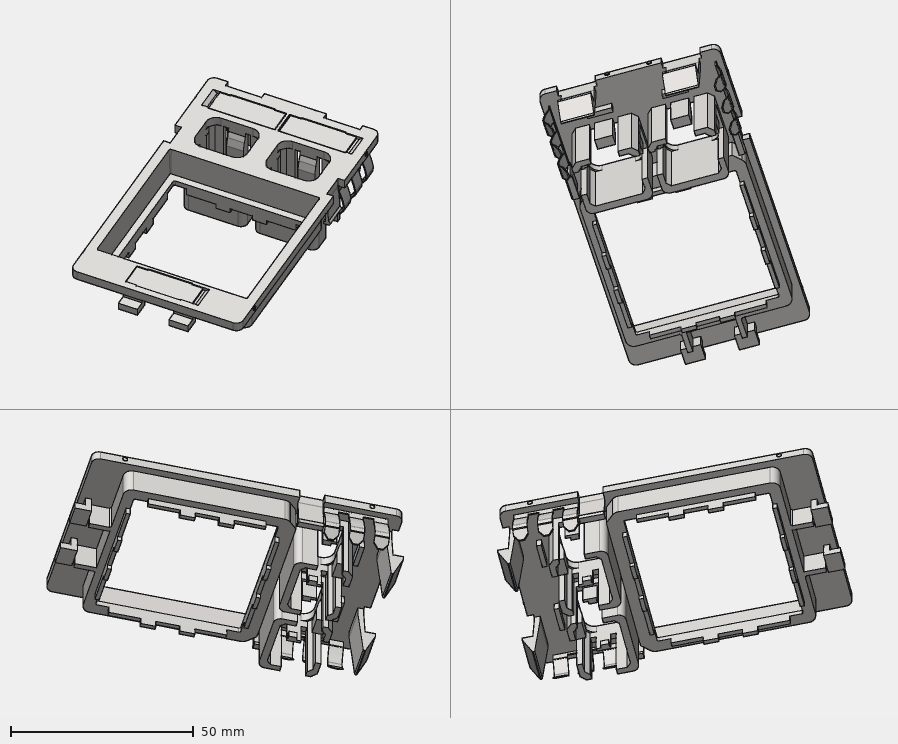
import math

import cadquery as cq

plate_width, plate_length, plate_thickness = 51.6, 87.7, 2.8
plate_corner_radius = 2.1
plate_half_width = plate_width / 2

window_center_y = 33.3
pocket_side, pocket_depth, pocket_taper, pocket_corner_radius = 45.6, 8.8, 1.7, 0.45
opening_side, opening_corner_radius = 40.9, 0.45
box_side, box_bottom, box_corner_radius = 47.4, -10.4, 2.35

skirt_length, skirt_thickness, skirt_bottom = 33.3, 1.2, -12.5
skirt_tab_width, skirt_tab_spacing = 4.25, 11.0
side_tab_bottom, end_tab_bottom = -14.5, -13.9

socket_center_x, socket_hole_y = 10.9, (60.6, 73.5)
socket_hole_width, socket_hole_radius = 15.75, 3.1
socket_wall, socket_front_y, socket_bottom = 1.6, 58.55, -22.8
socket_front_radius, socket_rear_chamfer, socket_inner_chamfer = 2.0, 1.5, 1.2
socket_gap_y = (64.9, 72.1)
socket_collar_bottom = -5.25
socket_rear_gap_width = 8.1
latch_width, latch_reach, latch_bevel = 5.2, 1.4, 0.7
latch_top, latch_step, latch_knee, latch_bottom = -4.0, -5.6, -8.1, -12.7
bridge_chamfer = 2.2
guide_wall_y, guide_pad_y = (66.5, 70.5), (66.8, 69.1)
guide_wall_thickness, guide_pad_height, guide_pad_top, guide_bottom = 0.8, 0.9, -9.05, -11.0

label_length, label_width = 20.1, 7.1
label_recess, label_gap, label_gap_depth = 0.4, 0.3, 0.45
ramp_depth, ramp_flat, ramp_run = 0.9, 0.7, 1.3
grip_length, grip_depth = 13.4, 0.3
rear_label_x, rear_label_y, front_label_y = 10.8, 79.55, 5.8
lug_length, lug_y, lug_bottom = 7.2, (78.3, 79.6), -5.4

clip_x, clip_width = 14.9, 9.4
clip_notch_width, clip_notch_depth = 11.0, 1.7
clip_arm_thickness, clip_arm_lean, clip_overhang = 1.7, 0.4, 1.6
clip_root_bottom, clip_barb_top, clip_barb_side, clip_tip_z = -4.9, -11.8, -12.7, -19.5
clip_tip_offset, clip_tip_half_width = 1.9, 0.4

side_notch_y, side_notch_depth = (58.4, 65.4), 2.0
notch_wall_x = plate_half_width - side_notch_depth
notch_wall_thickness, notch_wall_lean, notch_wall_lean_bottom = 0.45, 0.5, -9.9
notch_foot_flare, notch_foot_flare_z, notch_foot_bevel = 1.2, -10.5, 0.45
notch_foot_inset, notch_foot_bottom = 1.0, -11.3

spring_base_x, spring_thickness, spring_root, spring_strip_bottom = 24.0, 0.4, -4.9, -3.7
spring_y, finger_count, finger_width, finger_chamfer = (65.7, 83.8), 3, 4.1, 1.3
finger_pitch = (spring_y[1] - spring_y[0] - finger_width) / (finger_count - 1)
spring_tip_z = -14.5
bow_reach, bow_z = 1.1, -7.6
knee_reach, knee_top, knee_bottom, knee_setback = 1.6, -10.1, -11.6, 0.2
tip_inset = 0.6

hook_x, hook_width, hook_stem_width = 7.7, 5.8, 1.7
hook_reach, hook_root_y, hook_top, hook_bottom = 1.2, 3.5, -5.4, -7.6
rib_x, rib_thickness, rib_foot = 7.8, 1.45, 0.45

bump_radius, bump_z, side_bump_height, rear_bump_height = 0.68, -1.1, 0.14, 0.3
side_bump_y, rear_bump_x = (9.0, 78.8), 6.0


def box(x_range, y_range, z_range):
    """Axis-aligned block between the given limits."""
    size = [high - low for low, high in (x_range, y_range, z_range)]
    block = cq.Workplane("XY").box(*size, centered=False)
    return block.translate((x_range[0], y_range[0], z_range[0]))


def centered_box(center_x, width, y_range, z_range):
    """Block centred on center_x in the X direction."""
    return box((center_x - width / 2, center_x + width / 2), y_range, z_range)


def block_at_window(width, length, z_range, corner_radius):
    """Block with rounded upright edges, centred on the window."""
    y_range = (window_center_y - length / 2, window_center_y + length / 2)
    return centered_box(0, width, y_range, z_range).edges("|Z").fillet(corner_radius)


def mirrored(solid):
    """The solid together with its mirror image about the YZ plane."""
    return solid.union(solid.mirror("YZ"))


def side_profile(points, center_x, width):
    """(Y, Z) outline extruded along X, centred on center_x."""
    return cq.Workplane("YZ", origin=(center_x - width / 2, 0, 0)).polyline(points).close().extrude(width)


def make_plate():
    plate = centered_box(0, plate_width, (0, plate_length), (-plate_thickness, 0))
    plate = plate.edges("|Z").fillet(plate_corner_radius)
    clip_notch = centered_box(
        clip_x, clip_notch_width, (plate_length - clip_notch_depth, plate_length), (-plate_thickness, 0)
    )
    side_notch = box((notch_wall_x, plate_half_width), side_notch_y, (-plate_thickness, 0))
    return plate.cut(mirrored(clip_notch)).cut(mirrored(side_notch))


def make_bumps():
    """Round rods buried in the plate, their ends standing proud of its edges."""
    rod_length = plate_width + 2 * side_bump_height
    bumps = cq.Workplane("XY")
    for y in side_bump_y:
        rod = cq.Workplane("YZ", origin=(-rod_length / 2, y, bump_z)).circle(bump_radius).extrude(rod_length)
        bumps = bumps.union(rod)
    rear_pin = (
        cq.Workplane("XZ", origin=(rear_bump_x, plate_length + rear_bump_height, bump_z))
        .circle(bump_radius)
        .extrude(2 * rear_bump_height)
    )
    return bumps.union(mirrored(rear_pin))


def make_window_body():
    return block_at_window(box_side, box_side, (box_bottom, -plate_thickness), box_corner_radius)


def make_window_cut():
    pocket = (
        cq.Workplane("XY", origin=(0, window_center_y, 0))
        .sketch()
        .rect(pocket_side, pocket_side)
        .vertices()
        .fillet(pocket_corner_radius)
        .finalize()
        .extrude(-pocket_depth, taper=pocket_taper)
    )
    opening = block_at_window(opening_side, opening_side, (box_bottom, 0), opening_corner_radius)
    return pocket.union(opening)


def make_skirt(angle, tab_bottom):
    """Straight skirt with two tabs, turned about the window centre."""
    inner_y = window_center_y + opening_side / 2
    y_range = (inner_y, inner_y + skirt_thickness)
    skirt = centered_box(0, skirt_length, y_range, (skirt_bottom, box_bottom))
    tab = centered_box(skirt_tab_spacing / 2, skirt_tab_width, y_range, (tab_bottom, box_bottom))
    return skirt.union(mirrored(tab)).rotate((0, window_center_y, 0), (0, window_center_y, 1), angle)


def make_socket_hole():
    """Rounded hole through the plate, continuing below it with chamfered corners."""
    hole = centered_box(socket_center_x, socket_hole_width, socket_hole_y, (-plate_thickness, 0))
    shaft = centered_box(socket_center_x, socket_hole_width, socket_hole_y, (socket_bottom, -plate_thickness))
    return (
        hole.edges("|Z")
        .fillet(socket_hole_radius)
        .union(shaft.edges("|Z").chamfer(socket_inner_chamfer))
    )


def make_socket():
    """Solid tube split by a gap across its sides and a gap in its rear wall."""
    outer_width = socket_hole_width + 2 * socket_wall
    rear_y = socket_hole_y[1] + socket_wall
    tube_z = (socket_bottom, -plate_thickness)
    tube = centered_box(socket_center_x, outer_width, (socket_front_y, rear_y), tube_z)
    tube = tube.edges("|Z and <Y").fillet(socket_front_radius).edges("|Z and >Y").chamfer(socket_rear_chamfer)
    side_gap = centered_box(socket_center_x, outer_width, socket_gap_y, (socket_bottom, socket_collar_bottom))
    rear_gap = centered_box(socket_center_x, socket_rear_gap_width, (socket_gap_y[1], rear_y), tube_z)
    return tube.cut(side_gap).cut(rear_gap)


def make_latch():
    """Rear spring latch leaning forward into the socket."""
    tip_y = socket_hole_y[1] - latch_reach
    outer_y = socket_hole_y[1] + socket_wall
    outline = [
        (socket_hole_y[1], -plate_thickness),
        (socket_hole_y[1], latch_top),
        (socket_hole_y[1] - latch_bevel, latch_step),
        (tip_y, latch_knee),
        (tip_y, latch_bottom),
        (outer_y, latch_bottom),
        (outer_y, -plate_thickness),
    ]
    return side_profile(outline, socket_center_x, latch_width)


def make_guides():
    """Thin side walls with a pad that reaches into each side of the socket."""
    guides = cq.Workplane("XY")
    for side in (-1, 1):
        hole_x = socket_center_x + side * socket_hole_width / 2
        wall_x = hole_x + side * guide_wall_thickness / 2
        pad_x = hole_x - side * guide_pad_height / 2
        wall_z = (guide_bottom, -plate_thickness)
        pad_z = (guide_bottom, guide_pad_top)
        guides = guides.union(centered_box(wall_x, guide_wall_thickness, guide_wall_y, wall_z))
        guides = guides.union(centered_box(pad_x, guide_pad_height, guide_pad_y, pad_z))
    return guides


def make_bridge():
    """Web between the window box and the sockets, its ends slanting off the round box corners."""
    corner_inset = box_corner_radius * (1 - math.sqrt(0.5))
    start_y = window_center_y + box_side / 2 - corner_inset
    width = box_side - 2 * corner_inset
    bridge = centered_box(0, width, (start_y, socket_front_y), (box_bottom, -plate_thickness))
    return bridge.edges("|Z and >Y").chamfer(bridge_chamfer)


def make_label_cut(center_x, center_y, edge_gap):
    """Label recess with its ramp at the +X end; a nonzero edge_gap adds a groove along two edges."""
    y_range = (center_y - label_width / 2, center_y + label_width / 2)
    half = label_length / 2
    panel = box((-half, half), y_range, (-label_recess, 0))
    grip_y = (y_range[0] - grip_depth, y_range[1] + grip_depth)
    grip = centered_box(0, grip_length, grip_y, (-label_recess, 0))
    ramp_outline = [
        (half, 0),
        (half, -ramp_depth),
        (half + ramp_flat, -ramp_depth),
        (half + ramp_flat + ramp_run, 0),
    ]
    ramp = cq.Workplane("XZ", origin=(0, y_range[1], 0)).polyline(ramp_outline).close().extrude(label_width)
    cut = panel.union(grip).union(ramp)
    if edge_gap:
        groove = box((-half - edge_gap, half), (y_range[0] - edge_gap, y_range[1]), (-label_gap_depth, 0))
        cut = cut.union(groove.cut(box((-half, half), y_range, (-label_gap_depth, 0))))
    return cut.translate((center_x, 0, 0))


def make_clip():
    """Leaning arm with a rearward barb."""
    rear_y = plate_length + clip_overhang
    arm_rear_y = plate_length - clip_notch_depth
    arm_front_y = arm_rear_y - clip_arm_thickness
    tip_y = arm_front_y + clip_tip_offset
    outline = [
        (arm_front_y, -plate_thickness),
        (arm_front_y, clip_root_bottom),
        (tip_y - clip_tip_half_width, clip_tip_z + clip_tip_half_width),
        (tip_y, clip_tip_z),
        (tip_y + clip_tip_half_width, clip_tip_z + clip_tip_half_width),
        (rear_y, clip_barb_side),
        (rear_y, clip_barb_top),
        (arm_rear_y + clip_arm_lean, clip_barb_top),
        (arm_rear_y, clip_root_bottom),
        (arm_rear_y, -plate_thickness),
    ]
    return side_profile(outline, clip_x, clip_width)


def make_notch_wall():
    """Wall rising to the top face, with an outward-flared foot."""
    back_x = notch_wall_x - notch_wall_thickness
    outline = [
        (back_x, 0),
        (notch_wall_x, 0),
        (notch_wall_x, -plate_thickness),
        (notch_wall_x + notch_wall_lean, notch_wall_lean_bottom),
        (notch_wall_x + notch_foot_flare, notch_foot_flare_z),
        (notch_wall_x + notch_foot_flare - notch_foot_bevel, notch_foot_bottom),
        (notch_wall_x - notch_foot_inset, notch_foot_bottom),
        (notch_wall_x - notch_foot_inset, box_bottom),
        (back_x, box_bottom),
    ]
    length = side_notch_y[1] - side_notch_y[0]
    return cq.Workplane("XZ", origin=(0, side_notch_y[1], 0)).polyline(outline).close().extrude(length)


def make_spring_finger(center_y):
    """Bowed finger with a chamfered tip that bends back inward."""
    inner_x = spring_base_x - spring_thickness
    bend_reach = knee_reach - knee_setback
    finger = (
        cq.Workplane("XZ", origin=(0, center_y + finger_width / 2, 0))
        .moveTo(inner_x, -plate_thickness)
        .lineTo(spring_base_x, -plate_thickness)
        .lineTo(spring_base_x, spring_root)
        .threePointArc((spring_base_x + bow_reach, bow_z), (spring_base_x + knee_reach, knee_top))
        .lineTo(spring_base_x + bend_reach, knee_bottom)
        .lineTo(spring_base_x - tip_inset, spring_tip_z)
        .lineTo(inner_x - tip_inset, spring_tip_z)
        .lineTo(inner_x + bend_reach, knee_bottom)
        .lineTo(inner_x + knee_reach, knee_top)
        .threePointArc((inner_x + bow_reach, bow_z), (inner_x, spring_root))
        .close()
        .extrude(finger_width)
    )
    half = finger_width / 2
    silhouette = [
        (center_y - half, 0),
        (center_y - half, spring_tip_z + finger_chamfer),
        (center_y - half + finger_chamfer, spring_tip_z),
        (center_y + half - finger_chamfer, spring_tip_z),
        (center_y + half, spring_tip_z + finger_chamfer),
        (center_y + half, 0),
    ]
    return finger.intersect(side_profile(silhouette, spring_base_x, 2 * plate_half_width))


def make_spring():
    """Row of fingers hanging from a common strip."""
    strip_x = (spring_base_x - spring_thickness, spring_base_x)
    spring = box(strip_x, spring_y, (spring_strip_bottom, -plate_thickness))
    first_finger_y = spring_y[0] + finger_width / 2
    for index in range(finger_count):
        spring = spring.union(make_spring_finger(first_finger_y + index * finger_pitch))
    return spring


def make_hook():
    """Forward-reaching hook with a rib that ties it to the window box."""
    outline = [
        (hook_root_y, -plate_thickness),
        (hook_root_y, hook_bottom),
        (-hook_reach, hook_bottom),
        (-hook_reach, hook_top),
        (hook_root_y - hook_stem_width, hook_top),
        (hook_root_y - hook_stem_width, -plate_thickness),
    ]
    hook = side_profile(outline, hook_x, hook_width)
    box_front_y = window_center_y - box_side / 2
    rib_outer_x = rib_x + rib_thickness / 2
    rib_outline = [
        (rib_x - rib_thickness / 2, hook_root_y),
        (rib_outer_x, hook_root_y),
        (rib_outer_x, box_front_y - rib_foot),
        (rib_outer_x + rib_foot, box_front_y),
        (rib_x - rib_thickness / 2, box_front_y),
    ]
    rib_height = -plate_thickness - box_bottom
    rib = cq.Workplane("XY", origin=(0, 0, box_bottom)).polyline(rib_outline).close().extrude(rib_height)
    return hook.union(rib)


result = make_plate().union(make_bumps()).union(make_window_body()).union(make_bridge())
result = result.union(mirrored(make_socket()))
result = result.cut(make_window_cut()).cut(mirrored(make_socket_hole()))
result = result.union(mirrored(make_latch())).union(mirrored(make_guides()))
for skirt_angle in (0, 180):
    result = result.union(make_skirt(skirt_angle, end_tab_bottom))
    result = result.union(make_skirt(skirt_angle + 90, side_tab_bottom))
result = result.cut(mirrored(make_label_cut(rear_label_x, rear_label_y, label_gap)))
result = result.cut(make_label_cut(0, front_label_y, 0))
label_lug = centered_box(rear_label_x, lug_length, lug_y, (lug_bottom, -plate_thickness))
for edge_feature in (label_lug, make_clip(), make_notch_wall(), make_spring(), make_hook()):
    result = result.union(mirrored(edge_feature))